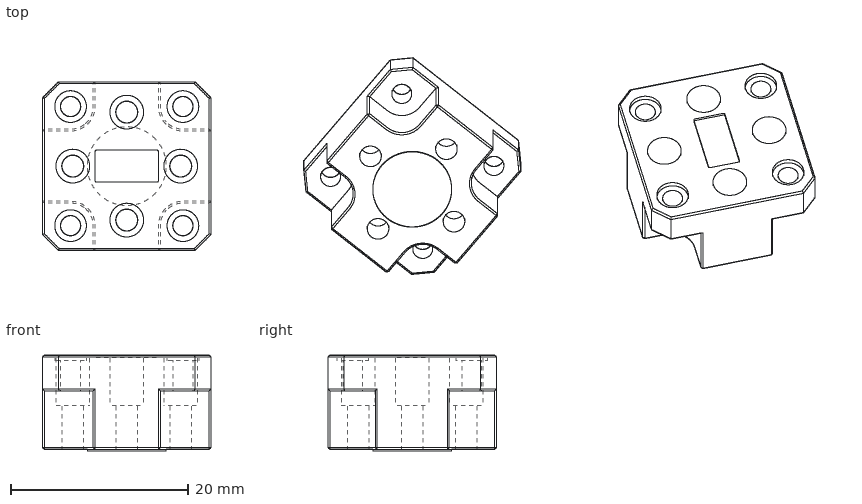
import cadquery as cq

side = 19.05
total_height = 10.85
corner_cut = 1.81
edge_chamfer = 0.21

boss_height = 0.2
boss_diameter = 8.92
body_height = total_height - boss_height

flange_thickness = 4.04
relief_top = total_height - flange_thickness

corner_hole_x = 6.35
corner_hole_y = 6.72
corner_hole_diameter = 2.25
corner_bore_diameter = 3.58
corner_bore_depth = 0.6
relief_radius = 2.55

axis_hole_offset = 6.1
axis_hole_diameter = 2.44
axis_bore_diameter = 3.81
axis_bore_depth = 5.72

recess_length = 7.15
recess_width = 3.6
recess_depth = 0.3
recess_corner_radius = 0.15

signs = (-1, 1)
corner_points = [(sx * corner_hole_x, sy * corner_hole_y) for sx in signs for sy in signs]
axis_points = [(s * axis_hole_offset, 0) for s in signs] + [(0, s * axis_hole_offset) for s in signs]


def corner_reliefs():
    """Four corner blocks, each with a round inner corner about its hole."""
    reach_x = side / 2 - corner_hole_x + relief_radius
    reach_y = side / 2 - corner_hole_y + relief_radius
    corners = [(sx * side / 2, sy * side / 2) for sx in signs for sy in signs]
    return (
        cq.Workplane("XY")
        .pushPoints(corners)
        .rect(2 * reach_x, 2 * reach_y)
        .extrude(relief_top)
        .edges("|Z")
        .fillet(relief_radius)
    )


def is_relief_mouth(edge):
    """True for edges of the reliefs that lie on the outer walls of the block."""
    tolerance = 0.002
    centre = edge.Center()
    x, y = abs(centre.x), abs(centre.y)
    on_side = max(x, y) > side / 2 - tolerance
    on_corner_cut = x + y > side - corner_cut - tolerance
    above_bottom = centre.z > boss_height + tolerance
    below_flange = centre.z < relief_top + tolerance
    return (on_side or on_corner_cut) and above_bottom and below_flange


def body():
    """Block with cut corners and reliefs, chamfered along its outer edges."""
    block = (
        cq.Workplane("XY")
        .workplane(offset=boss_height)
        .rect(side, side)
        .extrude(body_height)
        .edges("|Z")
        .chamfer(corner_cut)
        .cut(corner_reliefs())
    )
    sharp_edges = block.faces("<Z or >Z").edges().vals()
    sharp_edges += [edge for edge in block.edges().vals() if is_relief_mouth(edge)]
    return block.newObject(sharp_edges).chamfer(edge_chamfer)


def counterbores(points, hole_diameter, bore_diameter, bore_depth):
    """Through holes widened from the top face down to the bore depth."""
    holes = cq.Workplane("XY").pushPoints(points).circle(hole_diameter / 2).extrude(total_height)
    bores = (
        cq.Workplane("XY")
        .workplane(offset=total_height)
        .pushPoints(points)
        .circle(bore_diameter / 2)
        .extrude(-bore_depth)
    )
    return holes.union(bores)


def top_recess():
    return (
        cq.Workplane("XY")
        .workplane(offset=total_height)
        .rect(recess_length, recess_width)
        .extrude(-recess_depth)
        .edges("|Z")
        .fillet(recess_corner_radius)
    )


boss = cq.Workplane("XY").circle(boss_diameter / 2).extrude(boss_height)

result = (
    body()
    .union(boss)
    .cut(counterbores(corner_points, corner_hole_diameter, corner_bore_diameter, corner_bore_depth))
    .cut(counterbores(axis_points, axis_hole_diameter, axis_bore_diameter, axis_bore_depth))
    .cut(top_recess())
)